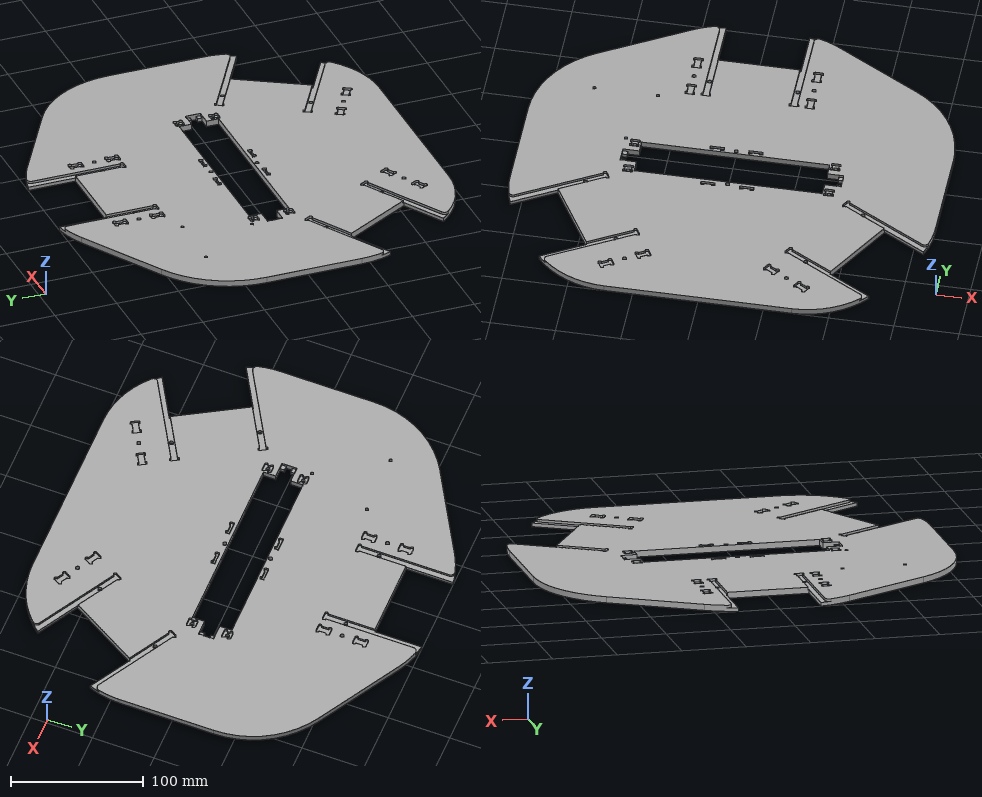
import cadquery as cq
import math

thickness = 5.0
flat_distance = 162.8
corner_radius = 80.0
arm_angles = (0, 120, 240)
half_bend = 30

shoulder_radius = 70.0
shoulder_offset = 21.0
shoulder_reach = (
    flat_distance - shoulder_radius - shoulder_offset * math.sin(math.radians(half_bend))
) / math.cos(math.radians(half_bend))

notch_half_width = 32.0
notch_floor = 126.0
recess_depth = 2.0
slot_width = 5.0
slot_inner_side = 31.3
slot_end = 85.3
slot_mouth_radius = 3.3
relief_radius = 1.3
slot_hole_reach = 103.2
screw_radius = 1.45
rim_clearance = 3.3

tab_length = 10.7
tab_width = 5.0
tab_spacing = 29.5
tab_reach = 105.0
upper_tab_offset = 46.0
lower_tab_offset = 58.3

window_y = 10.0
window_length = 144.0
window_width = 32.0
window_tab_length = 169.0
window_tab_width = 12.0
window_step_length = 161.5
window_key_width = 5.0

rail_pocket_length = 10.7
rail_pocket_width = 2.0
rail_pocket_spacing = 29.5
rail_pocket_offset = 20.0
rail_hole_offset = 18.5

corner_pocket_length = 7.0
corner_pocket_x = 76.8
corner_pocket_offset = 14.3

pilot_radius = 1.15
pilot_holes = [(-117.5, 79.0), (-69.0, 79.0), (-84.3, 28.5)]

recess_floor = thickness - recess_depth


def arm_point(side, reach, angle):
    """Plate coordinates of a point given sideways and outward in an arm's frame."""
    turn = math.radians(angle)
    return (
        side * math.cos(turn) - reach * math.sin(turn),
        side * math.sin(turn) + reach * math.cos(turn),
    )


def box(length, width, center_x, center_y, bottom=0.0):
    """Box from a given height up to the top face."""
    height = thickness - bottom
    block = cq.Workplane("XY").workplane(offset=bottom).rect(length, width).extrude(height)
    return block.translate((center_x, center_y, 0))


def discs(points, radius, bottom=0.0):
    """Vertical cylinders from a given height up to the top face."""
    plane = cq.Workplane("XY").workplane(offset=bottom)
    return plane.pushPoints(points).circle(radius).extrude(thickness - bottom)


def on_arm(shape, angle):
    """Turn a shape made on the +Y arm to another arm."""
    return shape.rotate((0, 0, 0), (0, 0, 1), angle)


def relieved_pocket(length, width):
    """Pocket along Y, with round reliefs in its side walls at all four corners."""
    relief_y = length / 2 - relief_radius
    reliefs = [(sx * width / 2, sy * relief_y) for sx in (-1, 1) for sy in (-1, 1)]
    return box(width, length, 0, 0, recess_floor).union(discs(reliefs, relief_radius, recess_floor))


def plate():
    """Plate without cuts: an outline of flats joined by tangent arcs, given by their normals."""
    centers = {
        (angle, side): arm_point(side * shoulder_offset, shoulder_reach, angle)
        for angle in arm_angles
        for side in (-1, 1)
    }

    def rim(angle, side, normal_angle):
        """Point of a shoulder in the direction given from +X."""
        x, y = centers[(angle, side)]
        direction = math.radians(normal_angle)
        return (x + shoulder_radius * math.cos(direction), y + shoulder_radius * math.sin(direction))

    corner_center = (flat_distance - corner_radius) / math.cos(math.radians(half_bend))

    def corner(normal_angle, corner_angle):
        """Point of a wide corner whose centre lies in the direction corner_angle."""
        towards = math.radians(corner_angle)
        direction = math.radians(normal_angle)
        return (
            corner_center * math.cos(towards) + corner_radius * math.cos(direction),
            corner_center * math.sin(towards) + corner_radius * math.sin(direction),
        )

    outline = (
        cq.Workplane("XY")
        .moveTo(*rim(120, -1, 270))
        .lineTo(*rim(240, 1, 270))
        .threePointArc(rim(240, 1, 300), rim(240, 1, 330))
        .lineTo(*rim(240, -1, 330))
        .threePointArc(rim(240, -1, 345), rim(240, -1, 0))
        .lineTo(*corner(0, 30))
        .threePointArc(corner(30, 30), corner(60, 30))
        .lineTo(*rim(0, 1, 60))
        .threePointArc(rim(0, 1, 75), rim(0, 1, 90))
        .lineTo(*rim(0, -1, 90))
        .threePointArc(rim(0, -1, 105), rim(0, -1, 120))
        .lineTo(*corner(120, 150))
        .threePointArc(corner(150, 150), corner(180, 150))
        .lineTo(*rim(120, 1, 180))
        .threePointArc(rim(120, 1, 195), rim(120, 1, 210))
        .lineTo(*rim(120, -1, 210))
        .threePointArc(rim(120, -1, 240), rim(120, -1, 270))
        .close()
    )
    return outline.extrude(thickness)


def notch():
    """Straight cut into the end of the +Y arm."""
    length = shoulder_reach + shoulder_radius + rim_clearance - notch_floor
    return box(2 * notch_half_width, length, 0, notch_floor + length / 2)


def side_slot():
    """Shallow slot on the +X side of a notch, with reliefs at its end and a rounded mouth."""
    outer_side = slot_inner_side + slot_width
    reach_past_rim = shoulder_reach + shoulder_radius + rim_clearance
    length = reach_past_rim - slot_end
    slot = box(slot_width, length, slot_inner_side + slot_width / 2, slot_end + length / 2, recess_floor)
    reliefs = [(x, slot_end + relief_radius) for x in (slot_inner_side, outer_side)]
    slot = slot.union(discs(reliefs, relief_radius, recess_floor))

    mouth_x = outer_side + slot_mouth_radius
    inset_radius = shoulder_radius - slot_mouth_radius
    mouth_y = shoulder_reach + math.sqrt(inset_radius**2 - (mouth_x - shoulder_offset) ** 2)
    stretch = shoulder_radius / inset_radius
    tangent_x = shoulder_offset + (mouth_x - shoulder_offset) * stretch
    tangent_y = shoulder_reach + (mouth_y - shoulder_reach) * stretch
    half_turn = (math.pi + math.atan2(tangent_y - mouth_y, tangent_x - mouth_x)) / 2
    mouth = (
        cq.Workplane("XY")
        .workplane(offset=recess_floor)
        .moveTo(outer_side, mouth_y)
        .threePointArc(
            (
                mouth_x + slot_mouth_radius * math.cos(half_turn),
                mouth_y + slot_mouth_radius * math.sin(half_turn),
            ),
            (tangent_x, tangent_y),
        )
        .lineTo(tangent_x, reach_past_rim)
        .lineTo(outer_side, reach_past_rim)
        .close()
        .extrude(recess_depth)
    )
    hole = discs([(slot_inner_side + slot_width / 2, slot_hole_reach)], screw_radius)
    return slot.union(mouth).union(hole)


def tab_pair(offset):
    """Two pockets in line along an arm with a hole between them."""
    cut = discs([(offset, tab_reach)], screw_radius)
    for step in (-1, 1):
        pocket = relieved_pocket(tab_length, tab_width)
        cut = cut.union(pocket.translate((offset, tab_reach + step * tab_spacing / 2, 0)))
    return cut


def window():
    """Through opening with a stepped, keyed extension at both ends."""
    opening = box(window_length, window_width, 0, window_y)
    upper = box(window_tab_length, window_tab_width, 0, window_y, recess_floor)
    lower = box(window_step_length, window_tab_width, 0, window_y)
    key = box(window_tab_length, window_key_width, 0, window_y)
    return opening.union(upper).union(lower).union(key)


result = plate()

slot = side_slot()
for angle in arm_angles:
    result = result.cut(on_arm(notch(), angle))
    result = result.cut(on_arm(slot, angle))
    result = result.cut(on_arm(slot.mirror("YZ"), angle))

for angle, offset in [
    (0, -upper_tab_offset),
    (0, upper_tab_offset),
    (120, -lower_tab_offset),
    (240, lower_tab_offset),
]:
    result = result.cut(on_arm(tab_pair(offset), angle))

result = result.cut(window())

for side in (-1, 1):
    rail_y = window_y + side * rail_pocket_offset
    corner_y = window_y + side * corner_pocket_offset
    result = result.cut(discs([(0, window_y + side * rail_hole_offset)], screw_radius))
    for end in (-1, 1):
        rail_pocket = relieved_pocket(rail_pocket_length, rail_pocket_width)
        rail_pocket = rail_pocket.rotate((0, 0, 0), (0, 0, 1), 90)
        result = result.cut(rail_pocket.translate((end * rail_pocket_spacing / 2, rail_y, 0)))
        corner_pocket = relieved_pocket(corner_pocket_length, tab_width)
        result = result.cut(corner_pocket.translate((end * corner_pocket_x, corner_y, 0)))
        result = result.cut(discs([(end * corner_pocket_x, corner_y)], screw_radius))

result = result.cut(discs(pilot_holes, pilot_radius))